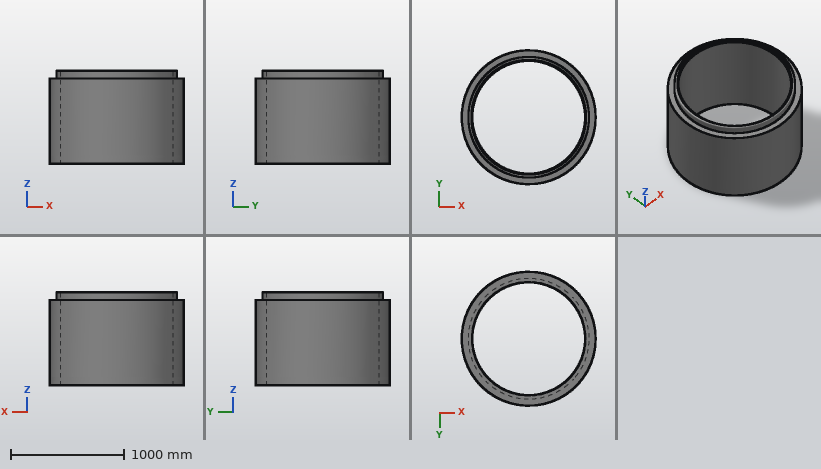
import cadquery as cq

outer_radius = 593.0
bore_radius = 498.0
total_height = 824.0

foot_height = 71.0

spigot_radius = 534.0
spigot_height = 69.0
outer_rim_fillet = 10.0
bore_rim_chamfer = 10.0
shoulder_height = total_height - spigot_height


def make_ring(outside, base_height, top_height):
    """Ring around the bore between two heights."""
    base = cq.Workplane("XY", origin=(0, 0, base_height))
    return base.circle(outside).circle(bore_radius).extrude(top_height - base_height)


def make_spigot():
    """Spigot ring with a rounded outer rim and a chamfered bore rim."""
    ring = make_ring(spigot_radius, shoulder_height, total_height)
    bore_rim = cq.selectors.RadiusNthSelector(0)
    chamfered = ring.faces(">Z").edges(bore_rim).chamfer(bore_rim_chamfer)
    outer_rim = cq.selectors.RadiusNthSelector(-1)
    return chamfered.faces(">Z").edges(outer_rim).fillet(outer_rim_fillet)


foot = make_ring(outer_radius, 0, foot_height)
body = make_ring(outer_radius, foot_height, shoulder_height)

result = foot.union(body, clean=False).union(make_spigot(), clean=False)